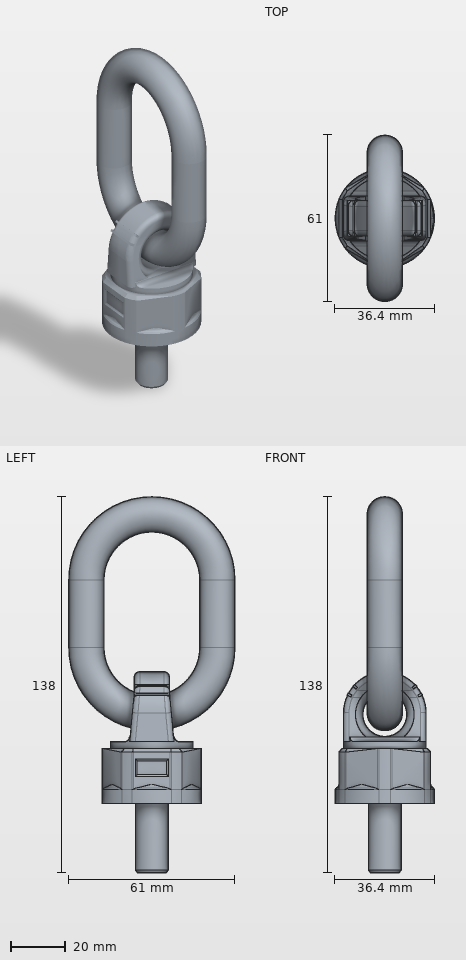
import cadquery as cq
import math


BOLT_RADIUS = 6.1
BOLT_LENGTH = 25.4
BOLT_TIP_WIDTH = 0.8
BOLT_TIP_HEIGHT = 1.1
FLANGE_RADIUS = 18.2
FLANGE_HEIGHT = 5.2
HEX_APOTHEM = 16.8
HEX_TOP = 20.3
HEX_EDGE_FILLET = 1.4
FLARE_LIP_RADIUS = 17.8
FLARE_LIP_Z = 5.8
FLARE_TOP_Z = 7.6
FLARE_BOW = 0.4
TOP_CHAMFER_WIDTH = 1.2
TOP_CHAMFER_HEIGHT = 1.4
PANEL_OUTER_WIDTH = 12.1
PANEL_OUTER_HEIGHT = 6.3
PANEL_DEPTH = 0.5
PANEL_WALL = 0.7
PANEL_Z = 13.2

COLLAR_RADIUS = 15.2
COLLAR_TOP = 22.8
EYE_RADIUS = 15.2
EYE_Z = 33.3
EYE_HALF_THICKNESS = 6.5
TAPER_TOP_Z = 40.3
BASE_HALF_THICKNESS = 8.1
FOOT_TOP_HALF = 8.3
FOOT_ROUND = 1.8
FOOT_BOTTOM_HALF = FOOT_TOP_HALF + FOOT_ROUND
CHEEK_BEND_RADIUS = 27.6
EYE_RIM_FILLET = 2.1
HOLE_RADIUS = 8.0
HOLE_Z = 32.7
HOLE_LIP_ROUND = 2.8
RIB_ANGLES = (27, 41.5)
RIB_WIDTH = 0.8
RIB_HEIGHT = 0.1
RIB_INNER_RADIUS = 13.8

ROD_RADIUS = 6.5
LINK_WIDTH = 61.0
LINK_STRAIGHT = 24.8
OVERALL_HEIGHT = 138.0
LINK_TOP = OVERALL_HEIGHT - BOLT_LENGTH
LINK_BEND_RADIUS = LINK_WIDTH / 2 - ROD_RADIUS

FLAT_HALF = math.sqrt(FLANGE_RADIUS**2 - HEX_APOTHEM**2)
LAND_HALF = HEX_APOTHEM * math.tan(math.pi / 6) - FLAT_HALF
OPEN_SPACE = 4.1


def top_chamfer_cutter(angle, apothem, half_side, fade_side=0):
    """Wedge along the top edge of a side whose normal lies at the given angle.

    With fade_side +1 or -1 the wedge tilts, so that the chamfer runs out
    to nothing at that end of the flat.
    """
    slope = TOP_CHAMFER_HEIGHT / TOP_CHAMFER_WIDTH
    reach = OPEN_SPACE * slope
    wedge = (
        cq.Workplane("XZ")
        .polyline([
            (apothem - TOP_CHAMFER_WIDTH - OPEN_SPACE, HEX_TOP + reach),
            (apothem + OPEN_SPACE, HEX_TOP - TOP_CHAMFER_HEIGHT - reach),
            (apothem + OPEN_SPACE, HEX_TOP + reach),
        ])
        .close()
        .extrude(2 * FLAT_HALF, both=True)
    )
    if fade_side:
        tilt = fade_side * math.degrees(math.atan2(TOP_CHAMFER_HEIGHT, 2 * FLAT_HALF))
        pivot = cq.Vector(apothem, -fade_side * FLAT_HALF, HEX_TOP - TOP_CHAMFER_HEIGHT)
        wedge = wedge.rotate(pivot, pivot + cq.Vector(1.4, 0, 0), tilt)
    side_strip = cq.Workplane("XY").box(8 * FLAT_HALF, 2 * half_side, 4 * HEX_TOP)
    return wedge.intersect(side_strip).rotate((0, 0, 0), (0, 0, 1), angle)


def panel_cutter():
    """Sunken panel with sloping walls in the +X flat."""
    return (
        cq.Workplane("YZ", origin=(HEX_APOTHEM, 0, PANEL_Z))
        .rect(PANEL_OUTER_WIDTH, PANEL_OUTER_HEIGHT)
        .workplane(offset=-PANEL_DEPTH)
        .rect(PANEL_OUTER_WIDTH - 2 * PANEL_WALL, PANEL_OUTER_HEIGHT - 2 * PANEL_WALL)
        .loft(ruled=True)
    )


def turned_bush_profile():
    """Flange, flare and bolt as one turned shape."""
    return (
        cq.Workplane("XZ")
        .moveTo(0, -BOLT_LENGTH)
        .lineTo(BOLT_RADIUS - BOLT_TIP_WIDTH, -BOLT_LENGTH)
        .lineTo(BOLT_RADIUS, -BOLT_LENGTH + BOLT_TIP_HEIGHT)
        .lineTo(BOLT_RADIUS, 0)
        .lineTo(FLANGE_RADIUS, 0)
        .lineTo(FLANGE_RADIUS, FLANGE_HEIGHT)
        .lineTo(FLARE_LIP_RADIUS, FLARE_LIP_Z)
        .threePointArc(
            (HEX_APOTHEM + FLARE_BOW, FLARE_LIP_Z + FLARE_BOW),
            (HEX_APOTHEM, FLARE_TOP_Z),
        )
        .lineTo(0, FLARE_TOP_Z)
        .close()
        .revolve(360, (0, 0, 0), (0, 1, 0))
    )


def make_bush():
    hexagon = (
        cq.Workplane("XY")
        .polygon(6, 2 * HEX_APOTHEM / math.cos(math.pi / 6))
        .extrude(HEX_TOP)
        .rotate((0, 0, 0), (0, 0, 1), 30)
    )
    bush = hexagon.intersect(cq.Workplane("XY").circle(FLANGE_RADIUS).extrude(HEX_TOP))
    bush = bush.edges("|Z").fillet(HEX_EDGE_FILLET)

    for side in (0, 180):
        bush = bush.cut(top_chamfer_cutter(side, HEX_APOTHEM, FLAT_HALF))
        for turn in (-1, 1):
            bush = bush.cut(top_chamfer_cutter(side + 30 * turn, FLANGE_RADIUS, LAND_HALF))
            bush = bush.cut(top_chamfer_cutter(side + 60 * turn, HEX_APOTHEM, FLAT_HALF, turn))
        bush = bush.cut(panel_cutter().rotate((0, 0, 0), (0, 0, 1), side))
    return bush.union(turned_bush_profile())


def eye_outline(radius):
    """Round-topped arch through the full depth, standing on the collar."""
    return (
        cq.Workplane("XZ", origin=(0, FOOT_BOTTOM_HALF, 0))
        .moveTo(-radius, COLLAR_TOP)
        .lineTo(-radius, EYE_Z)
        .threePointArc((0, EYE_Z + radius), (radius, EYE_Z))
        .lineTo(radius, COLLAR_TOP)
        .close()
        .extrude(2 * FOOT_BOTTOM_HALF)
    )


def eye_blank(radius):
    """Arch cut to the side profile: upright cheeks that thicken downwards."""
    lean = math.atan2(BASE_HALF_THICKNESS - EYE_HALF_THICKNESS, TAPER_TOP_Z - COLLAR_TOP)
    reach = CHEEK_BEND_RADIUS * math.tan(lean / 2)
    bend_end = (
        EYE_HALF_THICKNESS + reach * math.sin(lean),
        TAPER_TOP_Z - reach * math.cos(lean),
    )
    top = EYE_Z + 2 * EYE_RADIUS
    cheeks = (
        cq.Workplane("YZ", origin=(-radius, 0, 0))
        .moveTo(0, top)
        .lineTo(EYE_HALF_THICKNESS, top)
        .lineTo(EYE_HALF_THICKNESS, TAPER_TOP_Z + reach)
        .tangentArcPoint(bend_end, relative=False)
        .lineTo(BASE_HALF_THICKNESS, COLLAR_TOP)
        .lineTo(0, COLLAR_TOP)
        .mirrorY()
        .extrude(2 * radius)
    )
    return eye_outline(radius).intersect(cheeks)


def eye_foot():
    """Concave foot between the eye and the collar, kept inside the collar."""
    bow = FOOT_ROUND * (1 - math.sqrt(0.5))
    foot = (
        cq.Workplane("YZ", origin=(-COLLAR_RADIUS, 0, 0))
        .moveTo(0, HEX_TOP)
        .lineTo(FOOT_BOTTOM_HALF, HEX_TOP)
        .lineTo(FOOT_BOTTOM_HALF, COLLAR_TOP)
        .threePointArc(
            (FOOT_TOP_HALF + bow, COLLAR_TOP + bow),
            (FOOT_TOP_HALF, COLLAR_TOP + FOOT_ROUND),
        )
        .lineTo(0, COLLAR_TOP + FOOT_ROUND)
        .mirrorY()
        .extrude(2 * COLLAR_RADIUS)
    )
    return foot.intersect(cq.Workplane("XY").circle(COLLAR_RADIUS).extrude(EYE_Z))


def eye_hole():
    """Cutter for the eye hole, opening out with a round lip on both faces."""
    lip_start = EYE_HALF_THICKNESS - HOLE_LIP_ROUND
    lip_radius = HOLE_RADIUS + HOLE_LIP_ROUND
    bow = HOLE_LIP_ROUND * (1 - math.sqrt(0.5))
    side = EYE_HALF_THICKNESS
    return (
        cq.Workplane("XY")
        .moveTo(0, -FOOT_BOTTOM_HALF)
        .lineTo(lip_radius, -FOOT_BOTTOM_HALF)
        .lineTo(lip_radius, -side)
        .threePointArc((HOLE_RADIUS + bow, -side + bow), (HOLE_RADIUS, -lip_start))
        .lineTo(HOLE_RADIUS, lip_start)
        .threePointArc((HOLE_RADIUS + bow, side - bow), (lip_radius, side))
        .lineTo(lip_radius, FOOT_BOTTOM_HALF)
        .lineTo(0, FOOT_BOTTOM_HALF)
        .close()
        .revolve(360, (0, 0, 0), (0, 1, 0))
        .translate((0, 0, HOLE_Z))
    )


def rim_rib(angle):
    """Thin rib across the rim, filling the rounded rim edge at one angle."""
    plate = (
        cq.Workplane("XY")
        .box(EYE_RADIUS, 2 * FOOT_BOTTOM_HALF, RIB_WIDTH)
        .translate((RIB_INNER_RADIUS + EYE_RADIUS / 2, 0, 0))
        .rotate((0, 0, 0), (0, 1, 0), -angle)
        .translate((0, 0, EYE_Z))
    )
    return plate.intersect(eye_blank(EYE_RADIUS + RIB_HEIGHT))


def make_eye():
    eye = eye_blank(EYE_RADIUS)
    eye = eye.edges("(not |X) and (not |Y)").fillet(EYE_RIM_FILLET)
    for angle in RIB_ANGLES:
        for place in (angle, 180 - angle):
            eye = eye.union(rim_rib(place))
    eye = eye.cut(eye_hole())
    collar = (
        cq.Workplane("XY", origin=(0, 0, HEX_TOP))
        .circle(COLLAR_RADIUS)
        .extrude(COLLAR_TOP - HEX_TOP)
    )
    return collar.union(eye_foot()).union(eye)


def make_link():
    bend_top = LINK_TOP - LINK_WIDTH / 2
    bend_bottom = bend_top - LINK_STRAIGHT
    path = (
        cq.Workplane("YZ")
        .moveTo(LINK_BEND_RADIUS, bend_bottom)
        .lineTo(LINK_BEND_RADIUS, bend_top)
        .threePointArc((0, bend_top + LINK_BEND_RADIUS), (-LINK_BEND_RADIUS, bend_top))
        .lineTo(-LINK_BEND_RADIUS, bend_bottom)
        .threePointArc((0, bend_bottom - LINK_BEND_RADIUS), (LINK_BEND_RADIUS, bend_bottom))
        .close()
    )
    rod = cq.Workplane("XY", origin=(0, LINK_BEND_RADIUS, bend_bottom)).circle(ROD_RADIUS)
    return rod.sweep(path)


bush = make_bush()
eye = make_eye()
link = make_link()

result = cq.Compound.makeCompound([bush.val(), eye.val(), link.val()])